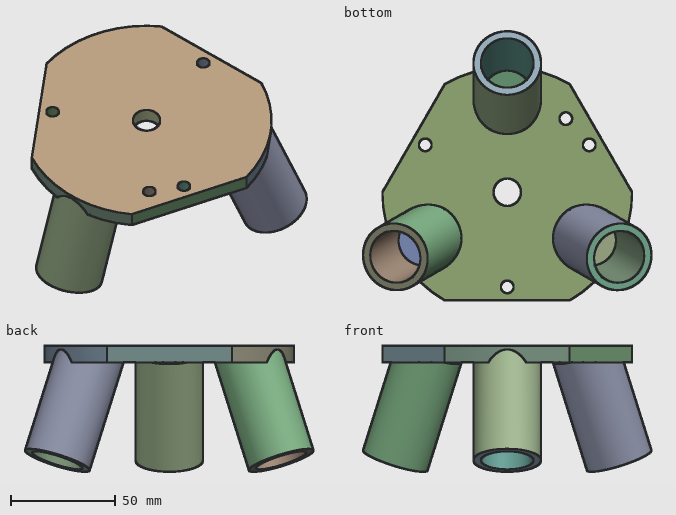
import cadquery as cq
import math

plate_radius = 60.0
plate_thickness = 8.0
flat_distance = plate_radius * math.cos(math.radians(30))
flat_angles = (90, 210, 330)

center_hole_diameter = 13.0
small_hole_diameter = 6.0
small_hole_radius = 45.5
extra_hole_position = (28.1, -35.3)

tube_outer_diameter = 32.5
tube_bore_diameter = 25.2
tube_length = 55.0
tube_tilt = 20
tube_top_radius = 43.2
tube_top_depth = 3.3
tube_angles = (30, 150, 270)


def polar(radius, angle):
    """Return the XY point at a radius and an angle in degrees."""
    return (radius * math.cos(math.radians(angle)), radius * math.sin(math.radians(angle)))


def make_plate():
    plate = cq.Workplane("XY").circle(plate_radius).extrude(-plate_thickness)
    for angle in flat_angles:
        beyond_flat = (
            cq.Workplane("XY")
            .center(flat_distance + plate_radius / 2, 0)
            .rect(plate_radius, 2 * plate_radius)
            .extrude(-plate_thickness)
            .rotate((0, 0, 0), (0, 0, 1), angle)
        )
        plate = plate.cut(beyond_flat)
    return plate


def make_tube(angle):
    """Build one tube, trimmed flush where its tilted end rises past the plate top."""
    tilt = math.radians(tube_tilt)
    end_plane = cq.Plane(
        origin=(tube_top_radius, 0, -tube_top_depth),
        xDir=(0, 1, 0),
        normal=(math.sin(tilt), 0, -math.cos(tilt)),
    )
    tube = (
        cq.Workplane(end_plane)
        .circle(tube_outer_diameter / 2)
        .circle(tube_bore_diameter / 2)
        .extrude(tube_length)
    )
    above_plate = (
        cq.Workplane("XY")
        .center(tube_top_radius, 0)
        .circle(tube_outer_diameter)
        .extrude(tube_length)
    )
    return tube.cut(above_plate).rotate((0, 0, 0), (0, 0, 1), angle)


def make_holes():
    small_positions = [polar(small_hole_radius, angle) for angle in flat_angles]
    small_positions.append(extra_hole_position)
    small_holes = (
        cq.Workplane("XY")
        .pushPoints(small_positions)
        .circle(small_hole_diameter / 2)
        .extrude(-plate_thickness)
    )
    center_hole = cq.Workplane("XY").circle(center_hole_diameter / 2).extrude(-plate_thickness)
    return small_holes.union(center_hole)


result = make_plate()
for tube_angle in tube_angles:
    result = result.union(make_tube(tube_angle))
result = result.cut(make_holes())